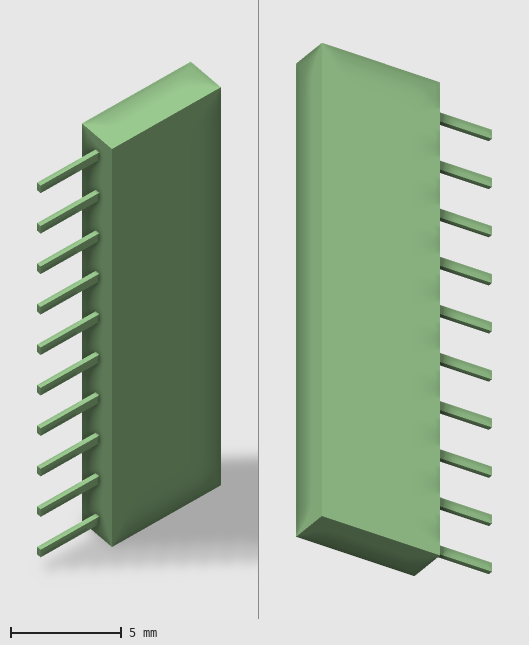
import cadquery as cq

body_width = 2.15
body_depth = 6.35
body_height = 25.0

overall_depth = 9.77
pin_length = overall_depth - body_depth
pin_width = 0.25
pin_height = 0.47
pin_offset_x = 0.05
pin_offset_z = -0.05
pin_count = 10
pin_row_span = 22.87
pin_pitch = pin_row_span / (pin_count - 1)


def make_body():
    """Plain block with its -Y face on the XZ plane."""
    return cq.Workplane("XY").box(body_width, body_depth, body_height, centered=(True, False, True))


def make_pin(z):
    """One rectangular pin centred at height z, ending on the body's -Y face."""
    pin = cq.Workplane("XY").box(pin_width, pin_length, pin_height, centered=(True, False, True))
    return pin.translate((pin_offset_x, -pin_length, z))


first_pin_z = pin_offset_z - pin_row_span / 2

result = make_body()
for index in range(pin_count):
    result = result.union(make_pin(first_pin_z + index * pin_pitch))